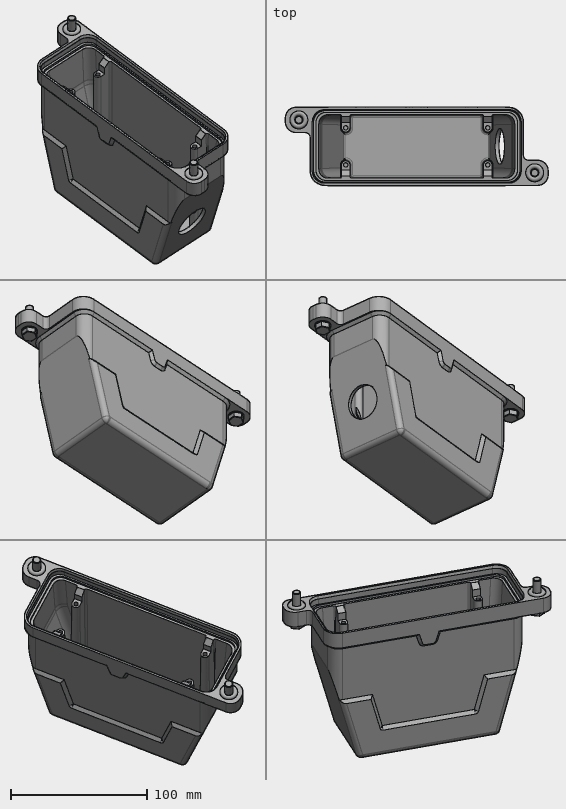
import cadquery as cq
import math


FLANGE_HALF_X = 78.3
FLANGE_HALF_Y = 28.75
FLANGE_HEIGHT = 12.5
FLANGE_CORNER_R = 11.0

EAR_END_X = 96.5
SCREW_X = 86.5
SCREW_Y = 19.4
EAR_CORNER_R = 8.0
EAR_ROOT_R = 3.5
EAR_INNER_Y = 2 * SCREW_Y - FLANGE_HALF_Y

BODY_HALF_X = 75.1
BODY_HALF_Y = 26.5
BODY_CORNER_R = 8.6
BODY_BOTTOM_Z = -111.2
SLOPE_START_Z = -35.0
SLOPE_ANGLE = 15.0
SLOPE = math.tan(math.radians(SLOPE_ANGLE))
BEVEL_ANGLE = 45.0
COLLAR_SIZE = FLANGE_HALF_Y - BODY_HALF_Y

BAND_HALF_Y = 29.0
BAND_STEP = BAND_HALF_Y - BODY_HALF_Y
BAND_TOP_Z = -58.4
BAND_SIDE_R = 4.0
BAND_BOTTOM_R = 4.0
NOTCH_BOTTOM_Z = -86.6
NOTCH_TOP_HALF_X = 43.2
NOTCH_BOTTOM_HALF_X = NOTCH_TOP_HALF_X - (BAND_TOP_Z - NOTCH_BOTTOM_Z) * SLOPE

TAB_TOP_HALF_X = 10.0
TAB_BOTTOM_HALF_X = 6.3
TAB_BOTTOM_Z = -24.5
TAB_CORNER_R = 4.5

MOUTH_HALF_X, MOUTH_HALF_Y = 76.7, 27.0
WALL_HALF_X, WALL_HALF_Y = 75.7, 26.2
STEP_HALF_X, STEP_HALF_Y = 73.9, 25.0
MOUTH_CHAMFER_DEPTH = 2.2
RECESS_DEPTH = 6.8
LEDGE_DEPTH = 8.5
MOUTH_CORNER_R = 9.2
STEP_CORNER_R = 7.5

CAVITY_TOP_HALF_X = 71.9
CAVITY_TOP_HALF_Y = 23.3
CAVITY_BREAK_Z = -42.0
CAVITY_FLOOR_Z = -104.4
CAVITY_FLOOR_HALF_Y = 22.5
CAVITY_CORNER_R = 6.8
CAVITY_BREAK_R = 20.0
CAVITY_FLOOR_R = 1.2
SLOPED_WALL = 3.1

POST_X = 52.1
POST_Y = 13.6
POST_TOP_R = 3.0
POST_DRAFT = 0.55
POST_ROOT_R = 1.5
POST_PAD_Z = -18.0
POST_RAMP_OUTER_Y = 21.9
POST_RAMP_INNER_Y = 17.4
POST_RAMP_DROP = 3.5
POST_HOLE_D = 3.2
POST_HOLE_DEPTH = 12.0

CABLE_HOLE_D = 26.0
CABLE_HOLE_Z = -76.4

OVERLAP = 1.0

SHAFT_D = 6.0
SHAFT_TOP_Z = 11.5
SHAFT_CHAMFER = 0.5
SEAL_RING_D = 13.2
SEAL_RING_HEIGHT = 1.7
WASHER_D = 12.0
WASHER_HEIGHT = 0.6
HEAD_ACROSS_FLATS = 10.0
HEAD_HEIGHT = 5.0
HEAD_CHAMFER = 0.4


def outer_half_x(z):
    """Half length of the hood at height z."""
    return BODY_HALF_X - max(0.0, SLOPE_START_Z - z) * SLOPE


def rounded_block(half_x, half_y, corner_r, top_z, height):
    """Upright block with rounded corners, hanging down from top_z."""
    block = cq.Workplane("XY").box(2 * half_x, 2 * half_y, height).edges("|Z").fillet(corner_r)
    return block.translate((0, 0, top_z - height / 2))


def tapered_block(half_x, half_y, corner_r, top_z, height, taper):
    """Block with rounded corners that narrows downward from top_z."""
    outline = cq.Sketch().rect(2 * half_x, 2 * half_y).vertices().fillet(corner_r)
    block = cq.Workplane("XY", origin=(0, 0, top_z)).placeSketch(outline)
    return block.extrude(-height, taper=taper)


def prism_along_y(points, half_y):
    """XZ outline extruded to both sides of the XZ plane."""
    return cq.Workplane("XZ").polyline(points).close().extrude(half_y, both=True)


def half_turn(shape):
    return shape.rotate((0, 0, 0), (0, 0, 1), 180)


def make_flange():
    flange = rounded_block(FLANGE_HALF_X, FLANGE_HALF_Y, FLANGE_CORNER_R, 0, FLANGE_HEIGHT)
    ear_root_x = FLANGE_HALF_X - 2 * FLANGE_CORNER_R
    ear = (
        cq.Workplane("XY")
        .box(EAR_END_X - ear_root_x, FLANGE_HALF_Y - EAR_INNER_Y, FLANGE_HEIGHT)
        .edges("|Z and <X")
        .fillet(EAR_CORNER_R)
        .translate((-(EAR_END_X + ear_root_x) / 2, SCREW_Y, -FLANGE_HEIGHT / 2))
    )
    flange = flange.union(ear).union(half_turn(ear))
    for side in (-1, 1):
        corner = cq.selectors.NearestToPointSelector(
            (side * FLANGE_HALF_X, -side * EAR_INNER_Y, -FLANGE_HEIGHT / 2)
        )
        flange = flange.edges("|Z").edges(corner).fillet(EAR_ROOT_R)
    return flange


def make_upper_body():
    """Upper hood with rounded corners and ends that turn into the slope."""
    body = rounded_block(BODY_HALF_X, BODY_HALF_Y, BODY_CORNER_R, 0, -BAND_TOP_Z)
    end_x = outer_half_x(BAND_TOP_Z)
    side_outline = prism_along_y(
        [
            (-BODY_HALF_X, 0),
            (BODY_HALF_X, 0),
            (BODY_HALF_X, SLOPE_START_Z),
            (end_x, BAND_TOP_Z),
            (-end_x, BAND_TOP_Z),
            (-BODY_HALF_X, SLOPE_START_Z),
        ],
        BODY_HALF_Y,
    )
    body = body.intersect(side_outline)
    collar = tapered_block(
        BODY_HALF_X + COLLAR_SIZE,
        BODY_HALF_Y + COLLAR_SIZE,
        BODY_CORNER_R + COLLAR_SIZE,
        -FLANGE_HEIGHT,
        COLLAR_SIZE,
        BEVEL_ANGLE,
    )
    return body.union(collar)


def make_lower_body():
    """Lower hood with the raised band; both long sides are notched back to the upper body."""
    top_x = outer_half_x(BAND_TOP_Z)
    bottom_x = outer_half_x(BODY_BOTTOM_Z)
    body = prism_along_y(
        [
            (-top_x, BAND_TOP_Z),
            (top_x, BAND_TOP_Z),
            (bottom_x, BODY_BOTTOM_Z),
            (-bottom_x, BODY_BOTTOM_Z),
        ],
        BAND_HALF_Y,
    )
    body = body.edges("not(|X or |Y)").fillet(BAND_SIDE_R)
    body = body.faces("<Z").edges().fillet(BAND_BOTTOM_R)
    notch = (
        cq.Workplane("XZ", origin=(0, -BODY_HALF_Y, 0))
        .moveTo(-BODY_HALF_X, 0)
        .lineTo(-BODY_HALF_X, BAND_TOP_Z)
        .lineTo(-NOTCH_TOP_HALF_X, BAND_TOP_Z)
        .lineTo(-NOTCH_BOTTOM_HALF_X, NOTCH_BOTTOM_Z)
        .lineTo(NOTCH_BOTTOM_HALF_X, NOTCH_BOTTOM_Z)
        .lineTo(NOTCH_TOP_HALF_X, BAND_TOP_Z)
        .lineTo(BODY_HALF_X, BAND_TOP_Z)
        .lineTo(BODY_HALF_X, 0)
        .close()
        .extrude(BAND_STEP, taper=-BEVEL_ANGLE)
    )
    return body.cut(notch).cut(half_turn(notch))


def make_tab():
    """Bevelled tab on the -Y side, flush with the flange and rooted inside it."""
    root_z = -FLANGE_HEIGHT + COLLAR_SIZE + OVERLAP
    flare = (TAB_TOP_HALF_X - TAB_BOTTOM_HALF_X) / (-FLANGE_HEIGHT - TAB_BOTTOM_Z)
    root_half_x = TAB_BOTTOM_HALF_X + flare * (root_z - TAB_BOTTOM_Z)
    outline = (
        cq.Sketch()
        .polygon(
            [
                (-root_half_x, root_z),
                (root_half_x, root_z),
                (TAB_BOTTOM_HALF_X, TAB_BOTTOM_Z),
                (-TAB_BOTTOM_HALF_X, TAB_BOTTOM_Z),
                (-root_half_x, root_z),
            ]
        )
        .vertices("<Y")
        .fillet(TAB_CORNER_R)
    )
    plate = cq.Workplane("XZ", origin=(0, -BODY_HALF_Y, 0)).placeSketch(outline)
    return plate.extrude(COLLAR_SIZE, taper=BEVEL_ANGLE)


def make_recess():
    """Seal recess: bevelled mouth, straight wall and a narrow step down to the ledge."""
    bevel = MOUTH_HALF_Y - WALL_HALF_Y
    taper = math.degrees(math.atan(bevel / MOUTH_CHAMFER_DEPTH))
    mouth = tapered_block(MOUTH_HALF_X, MOUTH_HALF_Y, MOUTH_CORNER_R, 0, MOUTH_CHAMFER_DEPTH, taper)
    wall = rounded_block(WALL_HALF_X, WALL_HALF_Y, MOUTH_CORNER_R - bevel, 0, RECESS_DEPTH)
    step = rounded_block(STEP_HALF_X, STEP_HALF_Y, STEP_CORNER_R, 0, LEDGE_DEPTH)
    return mouth.union(wall).union(step)


def make_post():
    """Drafted post against the +Y cavity wall at +X, ramped down to a pad near its free end."""
    post = (
        cq.Workplane("XY", origin=(POST_X, POST_Y, -LEDGE_DEPTH))
        .moveTo(-POST_TOP_R, 0)
        .threePointArc((0, -POST_TOP_R), (POST_TOP_R, 0))
        .lineTo(POST_TOP_R, BODY_HALF_Y - POST_Y)
        .lineTo(-POST_TOP_R, BODY_HALF_Y - POST_Y)
        .close()
        .extrude(CAVITY_FLOOR_Z - OVERLAP + LEDGE_DEPTH, taper=-POST_DRAFT)
    )
    above_post = (
        cq.Workplane("YZ", origin=(POST_X, 0, 0))
        .moveTo(POST_RAMP_OUTER_Y, -LEDGE_DEPTH)
        .lineTo(POST_RAMP_INNER_Y, -LEDGE_DEPTH - POST_RAMP_DROP)
        .lineTo(POST_RAMP_INNER_Y, POST_PAD_Z)
        .lineTo(0, POST_PAD_Z)
        .lineTo(0, -LEDGE_DEPTH)
        .close()
        .extrude(2 * POST_TOP_R, both=True)
    )
    return post.cut(above_post)


def at_all_corners(shape):
    """Copies of a +X +Y shape mirrored into all four corners."""
    pair = [shape, shape.mirror("YZ")]
    return pair + [item.mirror("XZ") for item in pair]


def wall_break_edges():
    """Selector for the edges where the cavity end walls turn into the slope."""
    lower_corner = (-BODY_HALF_X, -BODY_HALF_Y, CAVITY_BREAK_Z - OVERLAP)
    upper_corner = (BODY_HALF_X, BODY_HALF_Y, CAVITY_BREAK_Z + OVERLAP)
    return cq.selectors.BoxSelector(lower_corner, upper_corner, boundingbox=True)


def make_outer_flare():
    """Concave strip rounding the post into the wall on the side that faces the cavity end."""
    wall_y = CAVITY_TOP_HALF_Y - POST_Y
    root_y = wall_y - POST_ROOT_R
    tip_x = POST_TOP_R + POST_ROOT_R
    arc_middle = POST_ROOT_R * math.sqrt(0.5)
    return (
        cq.Workplane("XY", origin=(POST_X, POST_Y, -LEDGE_DEPTH))
        .moveTo(POST_TOP_R, root_y)
        .threePointArc((tip_x - arc_middle, root_y + arc_middle), (tip_x, wall_y))
        .lineTo(tip_x, wall_y + POST_ROOT_R)
        .lineTo(0, wall_y + POST_ROOT_R)
        .lineTo(0, root_y)
        .close()
        .extrude(CAVITY_FLOOR_Z + LEDGE_DEPTH)
    )


def inner_root_edges():
    """Selector for the upright edges between the posts and the long walls, toward the middle."""
    boxes = [
        cq.selectors.BoxSelector(
            (end * (POST_X - 2 * POST_TOP_R), wall * CAVITY_FLOOR_HALF_Y, CAVITY_FLOOR_Z),
            (end * POST_X, wall * CAVITY_TOP_HALF_Y, -LEDGE_DEPTH),
        )
        for end in (-1, 1)
        for wall in (-1, 1)
    ]
    return boxes[0] + boxes[1] + boxes[2] + boxes[3]


def make_cavity():
    """Hollow of the hood below the ledge, without the space taken by the posts."""
    break_x = outer_half_x(CAVITY_BREAK_Z) - SLOPED_WALL
    floor_x = outer_half_x(CAVITY_FLOOR_Z) - SLOPED_WALL
    cavity = prism_along_y(
        [
            (-CAVITY_TOP_HALF_X, -LEDGE_DEPTH),
            (CAVITY_TOP_HALF_X, -LEDGE_DEPTH),
            (break_x, CAVITY_BREAK_Z),
            (floor_x, CAVITY_FLOOR_Z),
            (-floor_x, CAVITY_FLOOR_Z),
            (-break_x, CAVITY_BREAK_Z),
        ],
        CAVITY_TOP_HALF_Y,
    )
    drafted_sides = (
        cq.Workplane("YZ")
        .moveTo(-CAVITY_TOP_HALF_Y, -LEDGE_DEPTH)
        .lineTo(CAVITY_TOP_HALF_Y, -LEDGE_DEPTH)
        .lineTo(CAVITY_FLOOR_HALF_Y, CAVITY_FLOOR_Z)
        .lineTo(-CAVITY_FLOOR_HALF_Y, CAVITY_FLOOR_Z)
        .close()
        .extrude(CAVITY_TOP_HALF_X, both=True)
    )
    cavity = cavity.intersect(drafted_sides)
    cavity = cavity.edges(wall_break_edges()).fillet(CAVITY_BREAK_R)
    cavity = cavity.edges("not(|X or |Y)").fillet(CAVITY_CORNER_R)
    for post in at_all_corners(make_post()):
        cavity = cavity.cut(post)
    cavity = cavity.edges(inner_root_edges()).fillet(POST_ROOT_R)
    cavity = cavity.faces("<Z").edges().fillet(CAVITY_FLOOR_R)
    for flare in at_all_corners(make_outer_flare()):
        cavity = cavity.cut(flare)
    return cavity


def make_post_holes():
    hole = (
        cq.Workplane("XY", origin=(POST_X, POST_Y, POST_PAD_Z))
        .circle(POST_HOLE_D / 2)
        .extrude(-POST_HOLE_DEPTH)
    )
    return at_all_corners(hole)


def make_cable_hole():
    """Cylinder square to the sloped +X wall."""
    angle = math.radians(SLOPE_ANGLE)
    wall_plane = cq.Plane(
        origin=(outer_half_x(CABLE_HOLE_Z) - SLOPED_WALL, 0, CABLE_HOLE_Z),
        xDir=(0, 1, 0),
        normal=(math.cos(angle), 0, -math.sin(angle)),
    )
    return cq.Workplane(wall_plane).circle(CABLE_HOLE_D / 2).extrude(2 * SLOPED_WALL, both=True)


def make_screw():
    """Hexagon screw through the ear on the -X side, with a rounded seal ring on top."""
    top = cq.Workplane("XY", origin=(-SCREW_X, SCREW_Y, 0))
    bottom = cq.Workplane("XY", origin=(-SCREW_X, SCREW_Y, -FLANGE_HEIGHT))
    shaft = top.circle(SHAFT_D / 2).extrude(SHAFT_TOP_Z).faces(">Z").chamfer(SHAFT_CHAMFER)
    ring = (
        cq.Workplane("XZ")
        .moveTo(SHAFT_D / 2, 0)
        .threePointArc(((SHAFT_D + SEAL_RING_D) / 4, SEAL_RING_HEIGHT), (SEAL_RING_D / 2, 0))
        .close()
        .revolve()
        .translate((-SCREW_X, SCREW_Y, 0))
    )
    washer = bottom.circle(WASHER_D / 2).extrude(-WASHER_HEIGHT)
    across_corners = HEAD_ACROSS_FLATS / math.cos(math.pi / 6)
    head = (
        bottom.transformed(rotate=(0, 0, 90))
        .polygon(6, across_corners)
        .extrude(-HEAD_HEIGHT)
        .faces("<Z")
        .chamfer(HEAD_CHAMFER)
    )
    return shaft.union(ring).union(washer).union(head)


def make_part():
    tab = make_tab()
    hood = make_flange().union(make_upper_body()).union(make_lower_body())
    hood = hood.union(tab).union(half_turn(tab))
    hood = hood.cut(make_recess()).cut(make_cavity()).cut(make_cable_hole())
    for hole in make_post_holes():
        hood = hood.cut(hole)
    screw = make_screw()
    return hood.union(screw).union(half_turn(screw))


result = make_part()